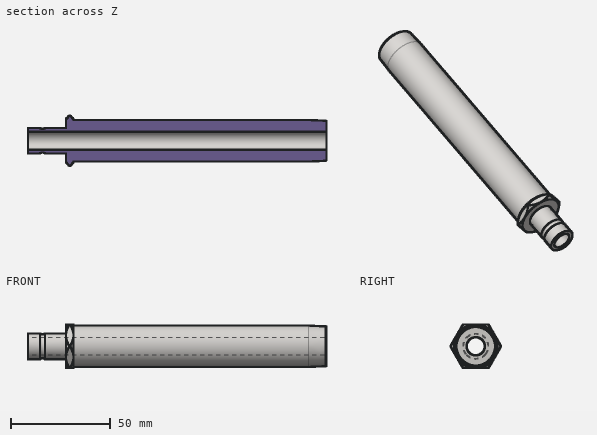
import cadquery as cq
import math

total_length = 150.0
hex_start = 19.0
hex_thickness = 3.9
cone_length = 9.0

spigot_diameter = 13.0
bore_diameter = 9.0
body_diameter = 21.0
cone_end_diameter = 20.2
end_chamfer = 0.5

hex_across_flats = 22.0
hex_across_corners = hex_across_flats / math.cos(math.pi / 6)
bevel_face_diameter = 21.9

groove_start = 6.0
groove_width = 2.7
groove_depth = 0.5

hex_end = hex_start + hex_thickness
cone_start = total_length - cone_length


def cylinder(start, end, diameter):
    """Solid cylinder along X between two stations."""
    return cq.Workplane("YZ").workplane(offset=start).circle(diameter / 2).extrude(end - start)


def revolve_about_x(profile):
    """Revolve a closed XY profile fully about the X axis."""
    return profile.close().revolve(360, (0, 0, 0), (1, 0, 0))


def make_spigot():
    """Plain spigot with a rounded retaining groove."""
    radius = spigot_diameter / 2
    groove_end = groove_start + groove_width
    groove_bottom = (groove_start + groove_width / 2, radius - groove_depth)
    profile = (
        cq.Workplane("XY")
        .lineTo(0, radius)
        .lineTo(groove_start, radius)
        .threePointArc(groove_bottom, (groove_end, radius))
        .lineTo(hex_start, radius)
        .lineTo(hex_start, 0)
    )
    return revolve_about_x(profile)


def make_hex_collar():
    """Hexagon with corners pointing along Y, trimmed by a cone from each face."""
    hexagon = (
        cq.Workplane("YZ")
        .workplane(offset=hex_start)
        .polygon(6, hex_across_corners)
        .extrude(hex_thickness)
    )
    face_radius = bevel_face_diameter / 2
    half_thickness = hex_thickness / 2
    peak_radius = face_radius + half_thickness
    envelope = (
        cq.Workplane("XY")
        .moveTo(hex_start, 0)
        .lineTo(hex_start, face_radius)
        .lineTo(hex_start + half_thickness, peak_radius)
        .lineTo(hex_end, face_radius)
        .lineTo(hex_end, 0)
    )
    return hexagon.intersect(revolve_about_x(envelope))


def make_body():
    """Long round body that tapers slightly towards a chamfered far end."""
    body_radius = body_diameter / 2
    end_radius = cone_end_diameter / 2
    profile = (
        cq.Workplane("XY")
        .moveTo(hex_end, 0)
        .lineTo(hex_end, body_radius)
        .lineTo(cone_start, body_radius)
        .lineTo(total_length - end_chamfer, end_radius)
        .lineTo(total_length, end_radius - end_chamfer)
        .lineTo(total_length, 0)
    )
    return revolve_about_x(profile)


bore = cylinder(0, total_length, bore_diameter)
result = make_spigot().union(make_hex_collar()).union(make_body()).cut(bore)